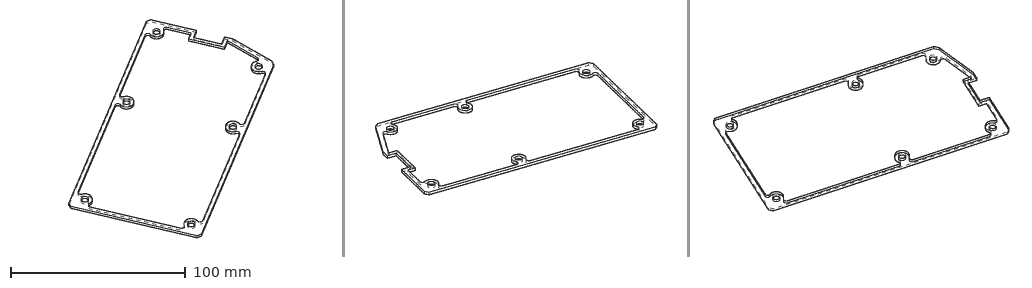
import cadquery as cq
import math

width = 79.5
length = 151.5
thickness = 1.8
corner_cut = 2.0

side_wall = 2.4
end_wall = 2.9
slope_wall = 3.0

notch_left = 29.4 - width / 2
notch_right = 46.2 - width / 2
notch_depth = 5.8
notch_side_wall = 2.4
notch_floor_wall = 2.0

slope_start = 51.2 - width / 2
slope_angle = math.radians(20)
slope_corner_drop = 2.4

hole_diameter = 4.2
boss_radius = 4.2
boss_inset_x = 7.9
boss_inset_y = 7.7
middle_boss_drop = 64.7
slope_boss_drop = 15.9
side_relief = 1.7
end_relief = 1.5

right = width / 2
back = length / 2
inner_right = right - side_wall
inner_back = back - end_wall
boss_x = right - boss_inset_x
boss_y = back - boss_inset_y
middle_y = back - middle_boss_drop
slope_boss_y = back - slope_boss_drop


def outer_slope_y(x):
    return back - (x - slope_start) * math.tan(slope_angle)


def inner_slope_y(x):
    return outer_slope_y(x) - slope_wall / math.cos(slope_angle)


def prism(points):
    return cq.Workplane("XY").polyline(points).close().extrude(thickness)


def disc(centre, radius):
    return cq.Workplane("XY").center(*centre).circle(radius).extrude(thickness)


def make_frame():
    slope_end = right - corner_cut
    outline = prism([
        (-right + corner_cut, -back),
        (right - corner_cut, -back),
        (right, -back + corner_cut),
        (right, outer_slope_y(slope_end) - slope_corner_drop),
        (slope_end, outer_slope_y(slope_end)),
        (slope_start, back),
        (notch_right, back),
        (notch_right, back - notch_depth),
        (notch_left, back - notch_depth),
        (notch_left, back),
        (-right + corner_cut, back),
        (-right, back - corner_cut),
        (-right, -back + corner_cut),
    ])
    wall_left = notch_left - notch_side_wall
    wall_right = notch_right + notch_side_wall
    wall_floor = back - notch_depth - notch_floor_wall
    opening = prism([
        (-inner_right, -inner_back),
        (inner_right, -inner_back),
        (inner_right, inner_slope_y(inner_right)),
        (wall_right, inner_slope_y(wall_right)),
        (wall_right, wall_floor),
        (wall_left, wall_floor),
        (wall_left, inner_back),
        (-inner_right, inner_back),
    ])
    return outline.cut(opening)


def relief(centre, gap, normal_angle, turn, radius):
    """Centre, wall contact and radius of a round touching both a wall and a boss.

    The wall lies at distance gap from the boss centre, in direction normal_angle.
    turn is 1 for the round on the left of that direction and -1 for the right.
    """
    normal_x = math.cos(normal_angle)
    normal_y = math.sin(normal_angle)
    reach = gap - radius
    shift = turn * math.sqrt((boss_radius + radius) ** 2 - reach ** 2)
    round_x = centre[0] + reach * normal_x - shift * normal_y
    round_y = centre[1] + reach * normal_y + shift * normal_x
    contact = (round_x + radius * normal_x, round_y + radius * normal_y)
    return (round_x, round_y), contact, radius


def add_boss(frame, centre, first, second, corner=None):
    """Add a boss and its web, bounded by two reliefs and an optional inner corner."""
    first_round, first_contact, first_radius = first
    second_round, second_contact, second_radius = second
    corner_points = [corner] if corner else []
    web = prism([centre, first_round, first_contact, *corner_points, second_contact, second_round])
    web = web.cut(disc(first_round, first_radius)).cut(disc(second_round, second_radius))
    return frame.union(web).union(disc(centre, boss_radius))


side_gap = inner_right - boss_x
end_gap = inner_back - boss_y
slope_gap = (inner_slope_y(boss_x) - slope_boss_y) * math.cos(slope_angle)
up = math.pi / 2
slope_normal = up - slope_angle

result = make_frame()
holes = []

for side, outward in ((-1, math.pi), (1, 0)):
    middle = (side * boss_x, middle_y)
    result = add_boss(
        result, middle,
        relief(middle, side_gap, outward, 1, side_relief),
        relief(middle, side_gap, outward, -1, side_relief),
    )
    front = (side * boss_x, -boss_y)
    result = add_boss(
        result, front,
        relief(front, side_gap, outward, side, side_relief),
        relief(front, end_gap, -up, -side, end_relief),
        (side * inner_right, -inner_back),
    )
    holes += [middle, front]

back_left = (-boss_x, boss_y)
result = add_boss(
    result, back_left,
    relief(back_left, side_gap, math.pi, 1, side_relief),
    relief(back_left, end_gap, up, -1, end_relief),
    (-inner_right, inner_back),
)

back_right = (boss_x, slope_boss_y)
result = add_boss(
    result, back_right,
    relief(back_right, side_gap, 0, -1, side_relief),
    relief(back_right, slope_gap, slope_normal, 1, end_relief),
    (inner_right, inner_slope_y(inner_right)),
)
holes += [back_left, back_right]

for hole in holes:
    result = result.cut(disc(hole, hole_diameter / 2))